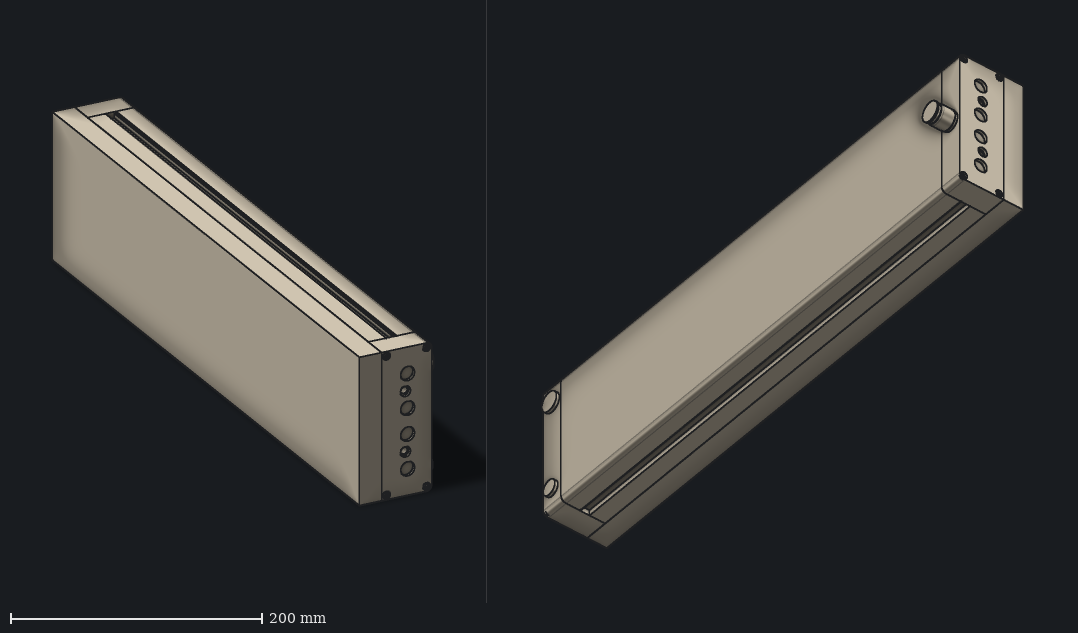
import cadquery as cq
import math

length = 532.0
height = 130.0
plate_thickness = 20.0
housing_depth = 45.0
back_face = plate_thickness + housing_depth
cap_length = 23.0
profile_length = length - 2 * cap_length
back_edge_radius = 5.0
cap_centre_x = (length - cap_length) / 2

slot_front = 36.0
slot_width = 8.0
slot_depth = 5.5
slot_rebate_width = 1.6
slot_rebate_depth = 1.6

screw_head_diameter = 6.5
screw_recess_depth = 2.0
hex_flats = 4.0
hex_depth = 2.5
screw_pitch_y = 36.0
screw_pitch_z = 121.6
screw_centre_y = plate_thickness + housing_depth / 2

port_group_z = 26.5
port_offset_z = 15.2
port_diameter = 12.4
port_depth = 3.0
port_y = 43.4
step_hole_y = 41.5
step_hole_diameter = 9.0
step_hole_depth = 3.0
step_hole_bore = 6.0
step_hole_bore_depth = 12.0

connector_length = 21.2
connector_diameter = 19.2
connector_neck_diameter = 18.0
connector_neck_length = 2.6
collar_diameter = 19.0
collar_thickness = 1.6
groove_diameter = 17.0
groove_width = 3.2
chamfer_length = 1.6
chamfer_inset = 0.4

plug_height = 3.0
plug_z = 45.0
upper_plug_diameter = 19.0
lower_plug_diameter = 15.0


def box(x_size, y_min, y_max, z_min, z_max):
    """Block centred on X = 0 between the given Y and Z limits."""
    block = cq.Workplane("XY").box(x_size, y_max - y_min, z_max - z_min, centered=(True, False, False))
    return block.translate((0, y_min, z_min))


def housing_block(x_size):
    """Block of the housing section, with its two long back edges rounded."""
    block = box(x_size, plate_thickness, back_face, -height / 2, height / 2)
    return block.edges("|X and >Y").fillet(back_edge_radius)


def disc(diameter, y_start, thickness, x=0.0, z=0.0):
    """Cylinder along +Y that starts at y_start."""
    axis = cq.Vector(0, 1, 0)
    return cq.Workplane(cq.Solid.makeCylinder(diameter / 2, thickness, cq.Vector(x, y_start, z), axis))


def make_front_plate():
    return box(length, 0, plate_thickness, -height / 2, height / 2)


def slot_cutter():
    """Upper slot: a groove with a shallow rebate along its rear edge."""
    top = height / 2
    slot_back = slot_front + slot_width
    groove = box(profile_length, slot_front, slot_back, top - slot_depth, top)
    rebate = box(profile_length, slot_back, slot_back + slot_rebate_width, top - slot_rebate_depth, top)
    return groove.union(rebate)


def make_profile():
    upper_slot = slot_cutter()
    return housing_block(profile_length).cut(upper_slot).cut(upper_slot.mirror("XY"))


def outer_face(side):
    """Plane on a cap's outer face: local x is Y or -Y, local y is Z, normal points outwards."""
    return cq.Plane(origin=(side * length / 2, 0, 0), xDir=(0, side, 0), normal=(side, 0, 0))


def blind_holes(side, points, diameter, depth):
    face = cq.Workplane(outer_face(side))
    return face.pushPoints([(side * y, z) for y, z in points]).circle(diameter / 2).extrude(-depth)


def cut_screw_recesses(cap, side):
    points = [
        (screw_centre_y + sy * screw_pitch_y / 2, sz * screw_pitch_z / 2)
        for sy in (-1, 1)
        for sz in (-1, 1)
    ]
    cap = cap.cut(blind_holes(side, points, screw_head_diameter, screw_recess_depth))
    socket_diameter = hex_flats / math.cos(math.pi / 6)
    sockets = (
        cq.Workplane(outer_face(side))
        .pushPoints([(side * y, z) for y, z in points])
        .polygon(6, socket_diameter)
        .extrude(-(screw_recess_depth + hex_depth))
    )
    return cap.cut(sockets)


def cut_ports(cap, side):
    groups = (-port_group_z, port_group_z)
    ports = [(port_y, z + offset) for z in groups for offset in (-port_offset_z, port_offset_z)]
    steps = [(step_hole_y, z) for z in groups]
    cap = cap.cut(blind_holes(side, ports, port_diameter, port_depth))
    cap = cap.cut(blind_holes(side, steps, step_hole_diameter, step_hole_depth))
    return cap.cut(blind_holes(side, steps, step_hole_bore, step_hole_bore_depth))


def make_cap(side):
    """End cap, side = -1 for the left end and 1 for the right end."""
    cap = housing_block(cap_length).translate((side * cap_centre_x, 0, 0))
    return cut_ports(cut_screw_recesses(cap, side), side)


def make_connector():
    end = back_face + connector_length
    collar_start = end - collar_thickness
    groove_start = collar_start - groove_width
    barrel_start = back_face + connector_neck_length
    neck = disc(connector_neck_diameter, back_face, connector_neck_length, -cap_centre_x)
    barrel = disc(connector_diameter, barrel_start, groove_start - barrel_start, -cap_centre_x)
    barrel = barrel.faces(">Y").chamfer(chamfer_length, chamfer_inset)
    groove = disc(groove_diameter, groove_start, groove_width, -cap_centre_x)
    collar = disc(collar_diameter, collar_start, collar_thickness, -cap_centre_x)
    return neck.union(barrel).union(groove).union(collar)


def make_left_cap():
    return make_cap(-1).union(make_connector())


def make_right_cap():
    upper_plug = disc(upper_plug_diameter, back_face, plug_height, cap_centre_x, plug_z)
    lower_plug = disc(lower_plug_diameter, back_face, plug_height, cap_centre_x, -plug_z)
    return make_cap(1).union(upper_plug).union(lower_plug)


front_plate = make_front_plate()
profile = make_profile()
left_cap = make_left_cap()
right_cap = make_right_cap()

result = cq.Compound.makeCompound(
    [front_plate.val(), profile.val(), left_cap.val(), right_cap.val()]
)